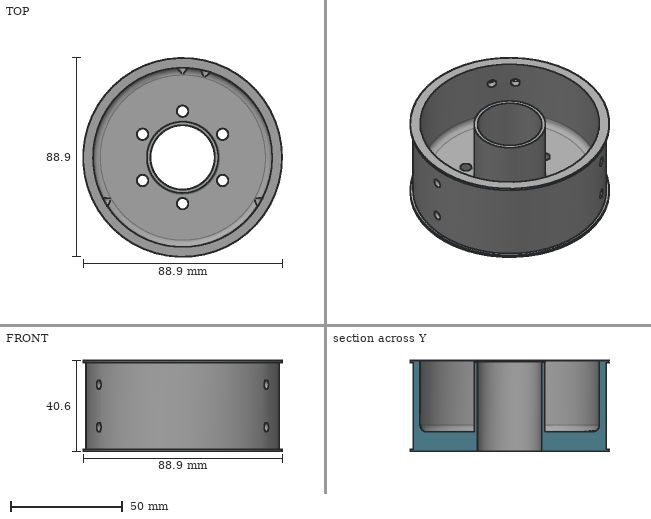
import cadquery as cq

flange_radius = 44.45
height = 40.6
flange_thickness = 1.1
body_radius = 43.2
inner_radius = 40.0

floor_thickness = 8.8
rim_fillet = 3.1
hub_radius = 15.9
hub_bore_radius = 14.3
hub_fillet = 0.45
hub_drop = 0.7

bolt_count = 6
bolt_diameter = 5.0
bolt_circle_radius = 20.6

radial_diameter = 4.0
radial_offset = 9.5
radial_angles = (75, 90, 210, 330)

bottom = -height / 2
floor_top = bottom + floor_thickness
hub_height = height - floor_thickness - hub_drop


def disc(radius, thickness, base):
    return cq.Workplane("XY").workplane(offset=base).circle(radius).extrude(thickness)


def make_drum():
    """Flanged rim with an open top, a rounded floor corner and a central hub."""
    drum = disc(body_radius, height, bottom)
    for base in (bottom, -bottom - flange_thickness):
        drum = drum.union(disc(flange_radius, flange_thickness, base))
    cavity = disc(inner_radius, height - floor_thickness, floor_top)
    drum = drum.cut(cavity.faces("<Z").edges().fillet(rim_fillet))

    flare_radius = hub_radius + hub_fillet
    hub_profile = (
        cq.Workplane("XZ", origin=(0, 0, floor_top))
        .lineTo(flare_radius, 0)
        .radiusArc((hub_radius, hub_fillet), hub_fillet)
        .lineTo(hub_radius, hub_height)
        .lineTo(0, hub_height)
        .close()
    )
    drum = drum.union(hub_profile.revolve(360, (0, 0, 0), (0, 1, 0)))
    return drum.cut(disc(hub_bore_radius, height, bottom))


def make_bolt_holes():
    return (
        cq.Workplane("XY", origin=(0, 0, bottom))
        .polarArray(bolt_circle_radius, 90, 360, bolt_count)
        .circle(bolt_diameter / 2)
        .extrude(height)
    )


def make_radial_hole(angle, z):
    start = inner_radius - rim_fillet
    hole = (
        cq.Workplane("YZ", origin=(start, 0, z))
        .circle(radial_diameter / 2)
        .extrude(flange_radius - start)
    )
    return hole.rotate((0, 0, 0), (0, 0, 1), angle)


result = make_drum().cut(make_bolt_holes())
for angle in radial_angles:
    for z in (-radial_offset, radial_offset):
        result = result.cut(make_radial_hole(angle, z))